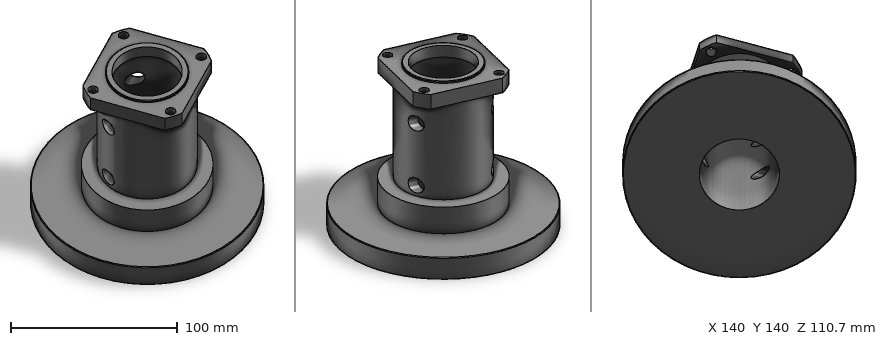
import cadquery as cq

flange_diameter = 140
flange_height = 15.0
flange_chamfer = 0.5

boss_diameter = 79.0
boss_top = 33.0
column_diameter = 60.0

overall_height = 110.7
ring_height = 1.4
ring_diameter = 50.0
ring_chamfer = 0.5
plate_thickness = 10.0
plate_width = 64.0
plate_corner_diameter = 80.0
plate_top = overall_height - ring_height
plate_bottom = plate_top - plate_thickness

bore_diameter = 48.0
lip_diameter = 42
lip_depth = 8.0

mount_hole_diameter = 6.2
mount_hole_spacing = 50.0

cross_hole_diameter = 10.0
cross_hole_x = -15.0
cross_hole_lowest = 40.2
cross_hole_pitch = 42


def cylinder(diameter, bottom, top):
    """Upright cylinder on the part's axis between two heights."""
    return cq.Workplane("XY").workplane(offset=bottom).circle(diameter / 2).extrude(top - bottom)


def make_flange():
    return cylinder(flange_diameter, 0, flange_height).edges().chamfer(flange_chamfer)


def make_plate():
    square = cq.Workplane("XY").workplane(offset=plate_bottom).rect(plate_width, plate_width)
    plate = square.extrude(plate_thickness)
    return plate.intersect(cylinder(plate_corner_diameter, plate_bottom, plate_top))


def make_ring():
    return cylinder(ring_diameter, plate_top, overall_height).faces(">Z").edges().chamfer(ring_chamfer)


def make_bore():
    lip_bottom = overall_height - lip_depth
    return cylinder(bore_diameter, 0, lip_bottom).union(cylinder(lip_diameter, lip_bottom, overall_height))


def make_mount_holes():
    holes = cq.Workplane("XY").workplane(offset=plate_bottom)
    holes = holes.rarray(mount_hole_spacing, mount_hole_spacing, 2, 2)
    return holes.circle(mount_hole_diameter / 2).extrude(plate_thickness)


def make_cross_holes():
    centers = [(cross_hole_x, cross_hole_lowest + i * cross_hole_pitch) for i in range(2)]
    holes = cq.Workplane("XZ").pushPoints(centers).circle(cross_hole_diameter / 2)
    return holes.extrude(column_diameter / 2, both=True)


result = (
    make_flange()
    .union(cylinder(boss_diameter, flange_height, boss_top))
    .union(cylinder(column_diameter, boss_top, plate_bottom))
    .union(make_plate())
    .union(make_ring())
    .cut(make_bore())
    .cut(make_mount_holes())
    .cut(make_cross_holes())
)